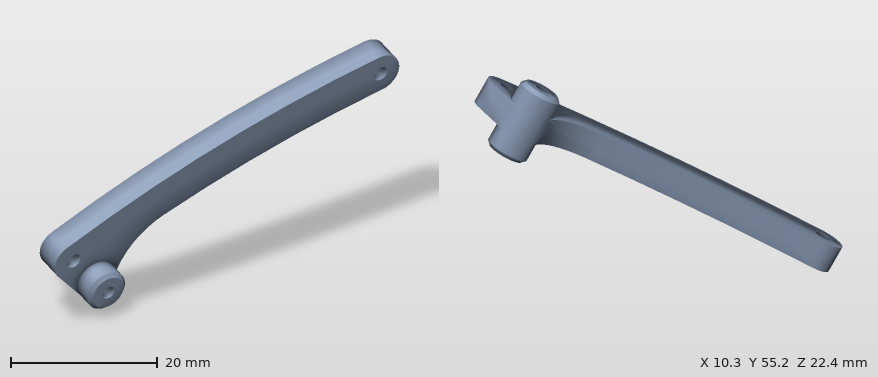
import cadquery as cq
import math

total_length = 55.2
total_height = 22.35
end_diameter = 6.0
plate_thickness = 3.9
boss_length = 10.3
boss_chamfer = 0.55
pivot_hole_diameter = 2.2
boss_hole_diameter = 2.0
arm_radius = 182.15
fillet_radius = 12.0
near_pivot_drop = 11.3
boss_setback = 3.6

end_radius = end_diameter / 2

far_pivot = (0.0, 0.0)
near_pivot = (end_diameter - total_length, -near_pivot_drop)
boss = (near_pivot[0] + boss_setback, end_diameter - total_height)


def move(point, direction, distance):
    return (point[0] + direction[0] * distance, point[1] + direction[1] * distance)


def unit_vector(start, end):
    length = math.dist(start, end)
    return ((end[0] - start[0]) / length, (end[1] - start[1]) / length)


def circle_crossing(first, first_radius, second, second_radius, side):
    """Crossing of two circles; side +1 is left of the way from first to second."""
    gap = math.dist(first, second)
    along = (gap**2 + first_radius**2 - second_radius**2) / (2 * gap)
    across = math.sqrt(first_radius**2 - along**2)
    direction = unit_vector(first, second)
    left = (-direction[1], direction[0])
    return move(move(first, direction, along), left, side * across)


def arc_middle(center, radius, start, end):
    """Middle of the shorter arc from start to end."""
    chord_middle = ((start[0] + end[0]) / 2, (start[1] + end[1]) / 2)
    return move(center, unit_vector(center, chord_middle), radius)


def make_plate():
    arm_center = circle_crossing(far_pivot, arm_radius, near_pivot, arm_radius, 1)
    outer_radius = arm_radius + end_radius
    inner_radius = arm_radius - end_radius
    far_normal = unit_vector(arm_center, far_pivot)
    near_normal = unit_vector(arm_center, near_pivot)
    far_top = move(far_pivot, far_normal, end_radius)
    far_bottom = move(far_pivot, far_normal, -end_radius)
    far_tip = move(far_pivot, (far_normal[1], -far_normal[0]), end_radius)
    near_top = move(near_pivot, near_normal, end_radius)

    edge = unit_vector(near_pivot, boss)
    edge_normal = (edge[1], -edge[0])
    near_edge = move(near_pivot, edge_normal, end_radius)
    boss_edge = move(boss, edge_normal, end_radius)

    fillet_center = circle_crossing(
        arm_center, inner_radius - fillet_radius, boss, fillet_radius + end_radius, -1
    )
    boss_blend = move(boss, unit_vector(boss, fillet_center), end_radius)
    arm_blend = move(arm_center, unit_vector(arm_center, fillet_center), inner_radius)

    return (
        cq.Workplane("YZ", origin=(-plate_thickness / 2, 0, 0))
        .moveTo(*far_top)
        .threePointArc(arc_middle(arm_center, outer_radius, far_top, near_top), near_top)
        .threePointArc(arc_middle(near_pivot, end_radius, near_top, near_edge), near_edge)
        .lineTo(*boss_edge)
        .threePointArc(arc_middle(boss, end_radius, boss_edge, boss_blend), boss_blend)
        .threePointArc(arc_middle(fillet_center, fillet_radius, boss_blend, arm_blend), arm_blend)
        .threePointArc(arc_middle(arm_center, inner_radius, arm_blend, far_bottom), far_bottom)
        .threePointArc(far_tip, far_top)
        .close()
        .extrude(plate_thickness)
    )


def make_cylinder(center, diameter):
    """Cylinder along X, as long as the boss and centred on the plate."""
    return (
        cq.Workplane("YZ", origin=(-boss_length / 2, 0, 0))
        .center(*center)
        .circle(diameter / 2)
        .extrude(boss_length)
    )


boss_body = make_cylinder(boss, end_diameter).faces("<X or >X").chamfer(boss_chamfer)
result = make_plate().union(boss_body)

holes = (
    (far_pivot, pivot_hole_diameter),
    (near_pivot, pivot_hole_diameter),
    (boss, boss_hole_diameter),
)
for hole_center, hole_diameter in holes:
    result = result.cut(make_cylinder(hole_center, hole_diameter))